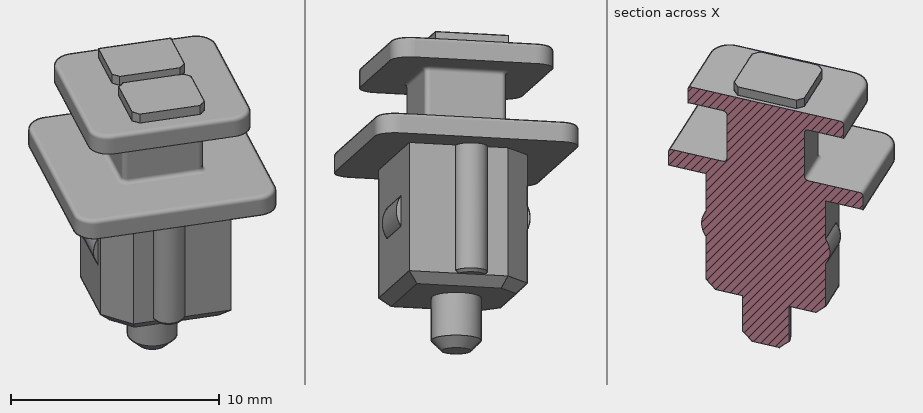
import cadquery as cq

flange_width = 10.0
cap_width = 8.0
plate_thickness = 1.0
plate_corner_radius = 1.0
plate_edge_fillet = 0.2

neck_width = 4.0
neck_height = 3.0
neck_corner_radius = 0.25
neck_root_fillet = 0.2

pad_height = 0.5
pad_length = 3.6
left_pad_width = 2.75
right_pad_width = 3.0
pad_gap = 0.6
pad_corner_chamfer = 0.3

body_width = 6.15
body_height = 6.8
body_corner_cut = 1.28
body_bottom_chamfer = 0.5

rib_radius = 0.8
rib_span = 7.46
rib_end_chamfer = 0.15

bump_length = 2.8
bump_height = 1.5
bump_projection = 0.23
bump_depth_below_flange = 3.0

pin_diameter = 2.4
pin_length = 2.6
pin_tip_chamfer = 0.5

flange_top = plate_thickness
cap_bottom = flange_top + neck_height
cap_top = cap_bottom + plate_thickness
rib_length = body_height - body_bottom_chamfer


def make_plate(width, bottom):
    """Square plate with round corners and a filleted top edge."""
    plate = cq.Workplane("XY").workplane(offset=bottom).rect(width, width).extrude(plate_thickness)
    plate = plate.edges("|Z").fillet(plate_corner_radius)
    return plate.faces(">Z").edges().fillet(plate_edge_fillet)


def make_neck():
    """Square column with rounded vertical edges."""
    neck = cq.Workplane("XY").workplane(offset=flange_top).rect(neck_width, neck_width).extrude(neck_height)
    return neck.edges("|Z").fillet(neck_corner_radius)


def make_head():
    """Flange, neck and cap, with fillets where the neck meets both plates."""
    head = make_plate(flange_width, 0).union(make_neck()).union(make_plate(cap_width, cap_bottom))
    half_root = neck_width / 2 + neck_root_fillet
    for level in (flange_top, cap_bottom):
        root_edges = cq.selectors.BoxSelector(
            (-half_root, -half_root, level - neck_root_fillet / 2),
            (half_root, half_root, level + neck_root_fillet / 2),
        )
        head = head.edges(root_edges).fillet(neck_root_fillet)
    return head


def make_pad(left, width, chamfered_edges):
    """Raised pad whose left side is at X = left, with the selected corners chamfered."""
    pad = cq.Workplane("XY").box(width, pad_length, pad_height, centered=(False, True, False))
    pad = pad.edges(chamfered_edges).chamfer(pad_corner_chamfer)
    return pad.translate((left, 0, cap_top))


def make_pads():
    """Both pads, centred together on the cap."""
    left_pad_start = -(left_pad_width + pad_gap + right_pad_width) / 2
    right_pad_start = left_pad_start + left_pad_width + pad_gap
    left_pad = make_pad(left_pad_start, left_pad_width, "|Z and >X")
    right_pad = make_pad(right_pad_start, right_pad_width, "|Z")
    return left_pad.union(right_pad)


def make_body():
    """Square plug with two cut corners and a chamfered lower end."""
    body = cq.Workplane("XY").rect(body_width, body_width).extrude(-body_height)
    body = body.edges("|Z and <Y").chamfer(body_corner_cut)
    return body.faces("<Z").edges().chamfer(body_bottom_chamfer)


def make_rib(side):
    """Round rib partly sunk into the body side; side is -1 or +1 along X."""
    rib_center = side * (rib_span / 2 - rib_radius)
    rib = cq.Workplane("XY").center(rib_center, 0).circle(rib_radius).extrude(-rib_length)
    return rib.faces("<Z").edges().chamfer(rib_end_chamfer)


def make_bump(side):
    """Shallow cylindrical bump along X; side is -1 or +1 along Y."""
    half_height = bump_height / 2
    bump_radius = (half_height**2 + bump_projection**2) / (2 * bump_projection)
    axis_y = side * (body_width / 2 + bump_projection - bump_radius)
    bump = cq.Workplane("YZ").center(axis_y, -bump_depth_below_flange).circle(bump_radius)
    return bump.extrude(bump_length / 2, both=True)


def make_pin():
    """Pin with a chamfered tip."""
    pin = cq.Workplane("XY").workplane(offset=-body_height).circle(pin_diameter / 2).extrude(-pin_length)
    return pin.faces("<Z").edges().chamfer(pin_tip_chamfer)


result = make_head().union(make_pads()).union(make_body()).union(make_pin())
for side in (-1, 1):
    result = result.union(make_rib(side)).union(make_bump(side))